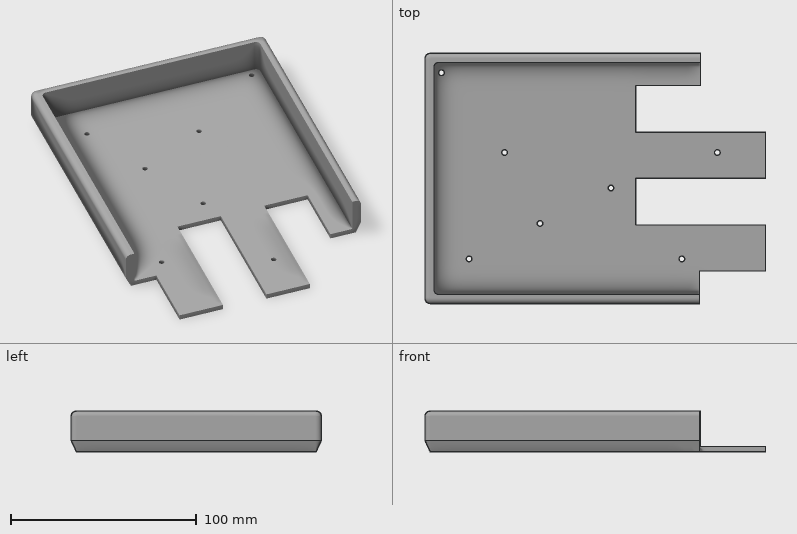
import cadquery as cq
import math

length = 183.5
width = 134.9
height = 22.0

tongue_overhang = 35.0
back_wall_end = length - tongue_overhang
front_wall_end = back_wall_end - 0.5
wall = 5.0
floor = 3.0
corner_radius = 3.1
rim_radius = 3.0
inner_radius = 2.5
bevel_inset = 3.0
bevel_height = 6.2

slot_width = 25.0
slot_depth = 70.0
slot_centers_y = [-slot_width / 2, slot_width * 3 / 2]
tongue_centers_y = [-slot_width * 3 / 2, slot_width / 2]

hole_diameter = 3.0
hole_pitch = 19.0
grid_x = 23.9
grid_y = -43.3
grid_holes = [(0, 0), (6, 0), (2, 1), (4, 2), (1, 3), (7, 3)]
corner_hole = (9.0, 56.9)


def block(x_start, x_end, y_center, y_size, z_start, z_size):
    """Box between two X positions, centred on y_center and rising from z_start."""
    x_size = x_end - x_start
    return (
        cq.Workplane("XY")
        .box(x_size, y_size, z_size, centered=(False, True, False))
        .translate((x_start, y_center, z_start))
    )


def make_shell():
    """Solid tray body with rounded corners and rim and a bevelled underside."""
    body = block(0, length, 0, width, bevel_height, height - bevel_height)
    body = body.edges("|Z and <X").fillet(corner_radius)
    bevel_angle = math.degrees(math.atan2(bevel_inset, bevel_height))
    bevel = body.faces("<Z").wires().toPending().extrude(-bevel_height, combine=False, taper=bevel_angle)
    body = body.faces(">Z").edges("not >X").fillet(rim_radius)
    body = body.union(bevel)
    return body.intersect(block(0, back_wall_end, 0, width, 0, height))


def make_cavity():
    """Space between the walls, open at the top and at the +X end."""
    cavity = block(wall, length, 0, width - 2 * wall, floor, height)
    return cavity.edges("|Z and <X").fillet(inner_radius)


def make_holes():
    points = [
        (grid_x + column * hole_pitch, grid_y + row * hole_pitch)
        for column, row in grid_holes
    ]
    points.append(corner_hole)
    return cq.Workplane("XY").pushPoints(points).circle(hole_diameter / 2).extrude(floor)


tray = make_shell().cut(make_cavity())

front_strip_width = width / 2 - 2 * slot_width
front_strip_center = -(width - front_strip_width) / 2
tray = tray.cut(
    block(front_wall_end, length, front_strip_center, front_strip_width, 0, height)
)

for center_y in tongue_centers_y:
    tray = tray.union(block(length - slot_depth, length, center_y, slot_width, 0, floor))

for center_y in slot_centers_y:
    tray = tray.cut(block(length - slot_depth, length, center_y, slot_width, 0, floor))

result = tray.cut(make_holes())